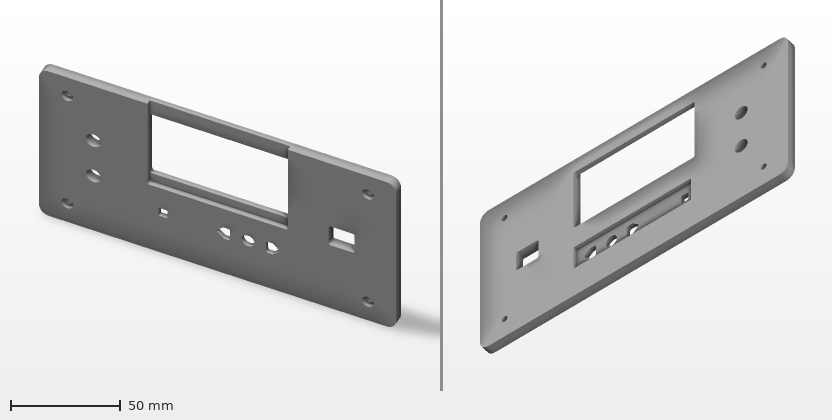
import cadquery as cq
length = 180.0
height = 90.0
thickness = 5.0
corner_radius = 5.0

mount_x = 75.8
mount_z = 33.5
mount_diameter = 3.5
counterbore_diameter = 6.0
counterbore_depth = 2.0

window_width = 70.7
window_top = 36.5
window_bottom = 0.0
window_corner_radius = 1.0
recess_bottom = -5.0
recess_depth = thickness / 2

round_hole_x = -62.6
round_hole_z = 11.0
round_hole_diameter = 7.5

socket_x = 62.5
socket_width = 13.1
socket_height = 11.7
socket_corner_radius = 1.0

row_z = -20.0
slot_x = -27.5
slot_width = 4.3
slot_height = 4.9
slot_corner_radius = 0.4
button_x = 15.3
button_diameter = 6.5

arrow_offset = 9.0
arrow_height = 6.8
arrow_side = 3.5
arrow_length = 7.4
arrow_base_radius = 1.0
arrow_tip_radius = 1.0

relief_depth = thickness / 2
relief_margin = 3.6
relief_left = slot_x - slot_width / 2 - relief_margin
relief_right = button_x + arrow_offset + arrow_length + relief_margin
relief_height = arrow_height + 2 * relief_margin


def front():
    """Sketch plane on the front face, with plate X and Z as its axes."""
    return cq.Workplane("XZ")


def prism(profile, depth):
    """Extrude a front-face profile toward the back."""
    return profile.extrude(-depth)


def rounded_box(x, z, width, tall, radius):
    """Full-thickness block centred at (x, z) with rounded corners."""
    block = prism(front().center(x, z).rect(width, tall), thickness)
    return block.edges("|Y").fillet(radius)


def round_pins(points, diameter, depth=thickness):
    return prism(front().pushPoints(points).circle(diameter / 2), depth)


def window():
    tall = window_top - window_bottom
    middle = (window_top + window_bottom) / 2
    return rounded_box(0, middle, window_width, tall, window_corner_radius)


def recess():
    """Front recess around the window, rounded at its two lower corners."""
    top = height / 2
    middle = (top + recess_bottom) / 2
    block = prism(front().center(0, middle).rect(window_width, top - recess_bottom), recess_depth)
    return block.edges("|Y and <Z").fillet(window_corner_radius)


def arrow(side):
    """House-shaped hole beside the button: side -1 points toward -X, side +1 toward +X."""
    base_x = button_x + side * arrow_offset
    shoulder_x = base_x + side * arrow_side
    tip_x = base_x + side * arrow_length
    bottom = row_z - arrow_height / 2
    top = row_z + arrow_height / 2
    corners = [(base_x, bottom), (shoulder_x, bottom), (tip_x, row_z), (shoulder_x, top), (base_x, top)]
    block = prism(front().polyline(corners).close(), thickness)
    tip_edge, base_edges = (">X", "<X") if side > 0 else ("<X", ">X")
    block = block.edges("|Y").edges(tip_edge).fillet(arrow_tip_radius)
    return block.edges("|Y").edges(base_edges).fillet(arrow_base_radius)


def back_relief():
    middle = (relief_left + relief_right) / 2
    profile = front().workplane(offset=-thickness).center(middle, row_z)
    return profile.rect(relief_right - relief_left, relief_height).extrude(relief_depth)


mounts = [(x, z) for x in (-mount_x, mount_x) for z in (-mount_z, mount_z)]
round_holes = [(round_hole_x, z) for z in (-round_hole_z, round_hole_z)]

openings = [
    round_pins(mounts, mount_diameter),
    round_pins(mounts, counterbore_diameter, counterbore_depth),
    window(),
    recess(),
    round_pins(round_holes, round_hole_diameter),
    rounded_box(socket_x, 0, socket_width, socket_height, socket_corner_radius),
    back_relief(),
    rounded_box(slot_x, row_z, slot_width, slot_height, slot_corner_radius),
    round_pins([(button_x, row_z)], button_diameter),
    arrow(-1),
    arrow(1),
]

result = rounded_box(0, 0, length, height, corner_radius)
for opening in openings:
    result = result.cut(opening)